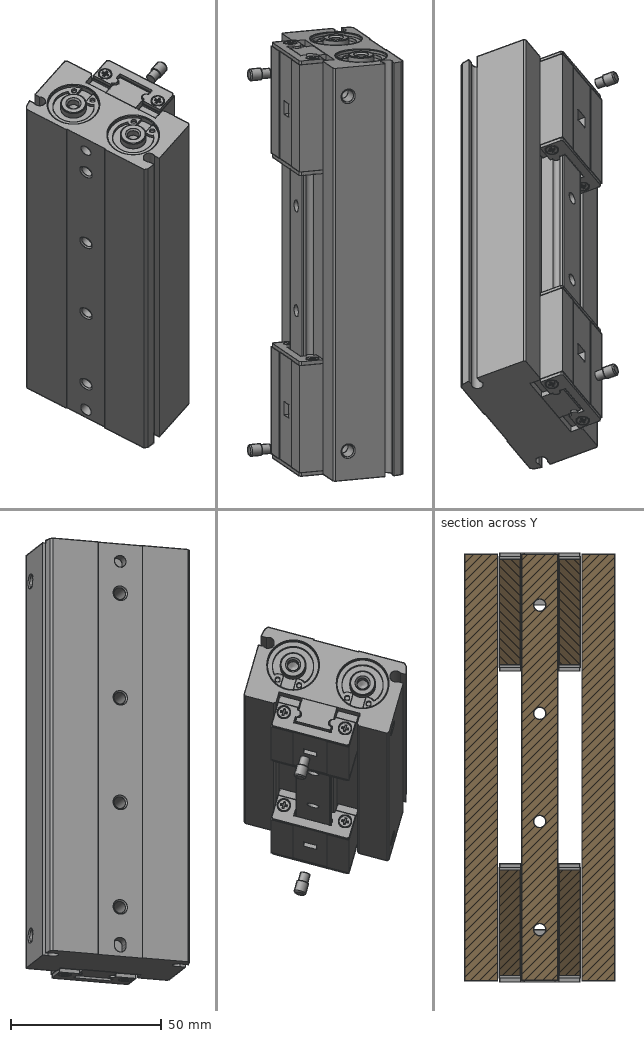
import cadquery as cq
import math


HOUSING_WIDTH = 50.0
HOUSING_DEPTH = 25.1
HOUSING_LENGTH = 142.0
HALF_WIDTH = HOUSING_WIDTH / 2
FOOT_HALF_WIDTH = 24.4
FOOT_FACE_HALF_WIDTH = 23.5
FOOT_CHAMFER_Y = 1.0
RELIEF_WIDTH = 15.4
RELIEF_DEPTH = 0.3
TOP_CHAMFER = 0.5

CHANNEL_WIDTH = 28.0
CHANNEL_FLOOR_Y = 20.8
CHANNEL_CHAMFER = 0.7

SLOT_DIAMETER = 3.9
SLOT_NECK = 3.1
SLOT_X = 22.0
SLOT_Y = 5.3

BORE_X = 12.0
BORE_Y = 10.5
BORE_DIAMETER = 17.0
BORE_CHAMFER = 0.3
CAP_LENGTH = 4.3
CAP_RECESS = 2.1
RING_RECESS = 1.1
RING_INNER_DIAMETER = 13.7
RING_GAP = 4.4
LUG_HOLE_DIAMETER = 1.7
LUG_RADIUS = 2.0
LUG_X = 3.7
LUG_Y = 5.9
BOSS_DIAMETER = 8.5
BOSS_CHAMFER = 0.3
BOSS_HOLE_DIAMETER = 3.9
BOSS_HOLE_MOUTH = 5.0
BOSS_HOLE_DEPTH = 2.9

MOUNT_PITCH = 36.0
MOUNT_COUNT = 4
MOUNT_DIAMETER = 4.0
MOUNT_MOUTH = 5.0
LOCATING_DIAMETER = 4.0
LOCATING_DEPTH = 4.0
LOCATING_HOLE_Z = 65.0
LOCATING_SLOT_Z = -67.0
LOCATING_SLOT_LENGTH = 5.0
PORT_Y = 20.0
PORT_Z = 61.0
PORT_DIAMETER = 4.1
PORT_MOUTH = 5.0
PORT_DEPTH = 5.7
DRILL_TIP_ANGLE = 118.0

RAIL_WIDTH = 12.0
RAIL_TOP_Y = 29.1
RAIL_CHAMFER = 0.3
RACE_Y = 26.5
RAIL_RACE_RADIUS = 1.3
RAIL_LENGTH = HOUSING_LENGTH - 0.3

BLOCK_WIDTH = 27.0
BLOCK_LENGTH = 39.4
BLOCK_END_Z = 71.4
BLOCK_TOP_Y = 33.0
BLOCK_UNDERSIDE_Y = 24.1
FOOT_PAD_Y = 21.4
FOOT_PAD_INSET = 2.1
BLOCK_GROOVE_WIDTH = 12.9
BLOCK_ROOF_Y = 29.5
BLOCK_RACE_RADIUS = 1.3
TOP_RELIEF_WIDTH = 11.7
TOP_RELIEF_DEPTH = 0.3
END_PLATE_LENGTH = 1.3
END_PLATE_TOP_Y = 32.8
END_PLATE_FOOT_Y = 24.4
END_PLATE_ROOF_Y = 30.0
END_PLATE_CHAMFER = 0.5
END_PLATE_INSET = 0.1
SCREW_X = 10.5
SCREW_Y = 27.3
SCREW_RECESS_DIAMETER = 4.4
SCREW_HEAD_DIAMETER = 4.0
SCREW_RECESS = 0.5
SCREW_CROSS_LENGTH = 2.3
SCREW_CROSS_WIDTH = 0.5
WINDOW_WIDTH = 4.5
WINDOW_LENGTH = 4.5

PIN_Z = 64.5
PIN_TOP_Y = 45.8
PIN_HEAD_DIAMETER = 4.0
PIN_HEAD_LENGTH = 4.0
PIN_SHANK_DIAMETER = 3.3
PIN_LENGTH = 7.1
PIN_CHAMFER = 0.4


def extrude_centered(outline, length):
    """Extrude a closed XY outline along Z, centred on Z = 0."""
    return outline.extrude(length / 2, both=True)


def box_between(x_limits, y_limits, z_limits):
    """Axis-aligned box given by its limits on each axis."""
    size = [high - low for low, high in (x_limits, y_limits, z_limits)]
    corner = (x_limits[0], y_limits[0], z_limits[0])
    return cq.Workplane("XY").box(*size, centered=False).translate(corner)


def drilled_hole(diameter, mouth, depth):
    """Cutter along -Z from the origin: chamfered mouth, straight bore and conical tip."""
    radius = diameter / 2
    mouth_depth = mouth / 2 - radius
    tip = radius / math.tan(math.radians(DRILL_TIP_ANGLE / 2))
    return (
        cq.Workplane("XZ")
        .polyline([
            (0, 0),
            (mouth / 2, 0),
            (radius, -mouth_depth),
            (radius, -depth),
            (0, -depth - tip),
        ])
        .close()
        .revolve(360, (0, 0), (0, 1))
    )



def housing_profile():
    channel = CHANNEL_WIDTH / 2
    neck_bottom = SLOT_Y - SLOT_NECK / 2
    right = [
        (RELIEF_WIDTH / 2, RELIEF_DEPTH),
        (RELIEF_WIDTH / 2, 0),
        (FOOT_FACE_HALF_WIDTH, 0),
        (FOOT_HALF_WIDTH, FOOT_CHAMFER_Y),
        (HALF_WIDTH, neck_bottom),
        (HALF_WIDTH, HOUSING_DEPTH - TOP_CHAMFER),
        (HALF_WIDTH - TOP_CHAMFER, HOUSING_DEPTH),
        (channel + CHANNEL_CHAMFER, HOUSING_DEPTH),
        (channel, HOUSING_DEPTH - CHANNEL_CHAMFER),
        (channel, CHANNEL_FLOOR_Y),
    ]
    left = [(-x, y) for x, y in reversed(right)]
    return cq.Workplane("XY").polyline(right + left).close()


def sensor_slot(side):
    round_part = extrude_centered(
        cq.Workplane("XY").center(side * SLOT_X, SLOT_Y).circle(SLOT_DIAMETER / 2), HOUSING_LENGTH
    )
    neck_length = HALF_WIDTH - SLOT_X
    neck = extrude_centered(
        cq.Workplane("XY")
        .center(side * (SLOT_X + neck_length / 2), SLOT_Y)
        .rect(neck_length, SLOT_NECK),
        HOUSING_LENGTH,
    )
    return round_part.union(neck)


def bore_cutter(side):
    """Recess that holds one end cap, with a chamfered mouth."""
    radius = BORE_DIAMETER / 2
    floor = -CAP_RECESS - CAP_LENGTH
    return (
        cq.Workplane("XZ")
        .polyline([
            (0, 0),
            (radius + BORE_CHAMFER, 0),
            (radius, -BORE_CHAMFER),
            (radius, floor),
            (0, floor),
        ])
        .close()
        .revolve(360, (0, 0), (0, 1))
        .translate((side * BORE_X, BORE_Y, HOUSING_LENGTH / 2))
    )


def guide_rail():
    half = RAIL_WIDTH / 2
    profile = (
        cq.Workplane("XY")
        .moveTo(-half, CHANNEL_FLOOR_Y)
        .lineTo(half, CHANNEL_FLOOR_Y)
        .lineTo(half, RACE_Y - RAIL_RACE_RADIUS)
        .threePointArc((half - RAIL_RACE_RADIUS, RACE_Y), (half, RACE_Y + RAIL_RACE_RADIUS))
        .lineTo(half, RAIL_TOP_Y - RAIL_CHAMFER)
        .lineTo(half - RAIL_CHAMFER, RAIL_TOP_Y)
        .lineTo(RAIL_CHAMFER - half, RAIL_TOP_Y)
        .lineTo(-half, RAIL_TOP_Y - RAIL_CHAMFER)
        .lineTo(-half, RACE_Y + RAIL_RACE_RADIUS)
        .threePointArc((RAIL_RACE_RADIUS - half, RACE_Y), (-half, RACE_Y - RAIL_RACE_RADIUS))
        .close()
    )
    return extrude_centered(profile, RAIL_LENGTH)


def mounting_hole(z):
    """Through hole with a chamfered mouth on the mounting face."""
    mouth_depth = (MOUNT_MOUTH - MOUNT_DIAMETER) / 2
    radius = MOUNT_DIAMETER / 2
    return (
        cq.Workplane("XY")
        .polyline([
            (0, RELIEF_DEPTH),
            (MOUNT_MOUTH / 2, RELIEF_DEPTH),
            (radius, RELIEF_DEPTH + mouth_depth),
            (radius, RAIL_TOP_Y),
            (0, RAIL_TOP_Y),
        ])
        .close()
        .revolve(360, (0, 0), (0, 1))
        .translate((0, 0, z))
    )


def locating_holes():
    """Blind round hole and blind slot in the mounting face."""
    face = cq.Workplane("XZ")
    depth = -(RELIEF_DEPTH + LOCATING_DEPTH)
    hole = face.center(0, LOCATING_HOLE_Z).circle(LOCATING_DIAMETER / 2).extrude(depth)
    slot = (
        face.center(0, LOCATING_SLOT_Z)
        .slot2D(LOCATING_SLOT_LENGTH, LOCATING_DIAMETER, 90)
        .extrude(depth)
    )
    return hole.union(slot)


def side_port(z):
    return (
        drilled_hole(PORT_DIAMETER, PORT_MOUTH, PORT_DEPTH)
        .rotate((0, 0, 0), (0, 1, 0), -90)
        .translate((-HALF_WIDTH, PORT_Y, z))
    )


def make_housing():
    """Extruded housing with the guide rail standing on its channel floor."""
    housing = extrude_centered(housing_profile(), HOUSING_LENGTH).union(guide_rail())
    for side in (-1, 1):
        housing = housing.cut(sensor_slot(side)).cut(bore_cutter(side))
        housing = housing.cut(side_port(side * PORT_Z))
    for index in range(MOUNT_COUNT):
        z = (index - (MOUNT_COUNT - 1) / 2) * MOUNT_PITCH
        housing = housing.cut(mounting_hole(z))
    return housing.cut(locating_holes())



def retaining_ring():
    """C-shaped ring standing on the cap face, with two drilled lugs at its gap."""
    height = CAP_RECESS - RING_RECESS
    disc = cq.Workplane("XY").circle(BORE_DIAMETER / 2).extrude(height)
    lug_points = [(-LUG_X, LUG_Y), (LUG_X, LUG_Y)]
    ring = disc.cut(cq.Workplane("XY").circle(RING_INNER_DIAMETER / 2).extrude(height))
    lugs = cq.Workplane("XY").pushPoints(lug_points).circle(LUG_RADIUS).extrude(height).intersect(disc)
    gap = cq.Workplane("XY").center(0, BORE_DIAMETER / 2).rect(RING_GAP, BORE_DIAMETER).extrude(height)
    holes = cq.Workplane("XY").pushPoints(lug_points).circle(LUG_HOLE_DIAMETER / 2).extrude(height)
    lug_foot_y = LUG_Y - LUG_RADIUS
    lug_bridge = box_between((-LUG_X, LUG_X), (lug_foot_y, BORE_DIAMETER / 2), (0, height)).intersect(disc)
    return ring.union(lugs).union(lug_bridge).cut(gap).cut(holes)


def make_end_cap(side):
    """Cap with its retaining ring and a drilled central boss."""
    face_z = HOUSING_LENGTH / 2 - CAP_RECESS
    boss_height = BLOCK_END_Z - face_z
    cap = cq.Workplane("XY").circle(BORE_DIAMETER / 2).extrude(-CAP_LENGTH)
    boss = cq.Workplane("XY").circle(BOSS_DIAMETER / 2).extrude(boss_height)
    cap = cap.union(boss.faces(">Z").chamfer(BOSS_CHAMFER))
    cap = cap.union(retaining_ring())
    hole = drilled_hole(BOSS_HOLE_DIAMETER, BOSS_HOLE_MOUTH, BOSS_HOLE_DEPTH)
    cap = cap.cut(hole.translate((0, 0, boss_height)))
    return cap.translate((side * BORE_X, BORE_Y, face_z))



def block_groove(roof_y):
    """Clearance over the rail, with the ball races left standing on its walls."""
    half = BLOCK_GROOVE_WIDTH / 2
    r = BLOCK_RACE_RADIUS
    profile = (
        cq.Workplane("XY")
        .moveTo(-half, CHANNEL_FLOOR_Y)
        .lineTo(half, CHANNEL_FLOOR_Y)
        .lineTo(half, RACE_Y - r)
        .threePointArc((half - r, RACE_Y), (half, RACE_Y + r))
        .lineTo(half, roof_y)
        .lineTo(-half, roof_y)
        .lineTo(-half, RACE_Y + r)
        .threePointArc((r - half, RACE_Y), (-half, RACE_Y - r))
        .close()
    )
    return extrude_centered(profile, BLOCK_LENGTH)


def block_center():
    half = BLOCK_WIDTH / 2
    half_length = BLOCK_LENGTH / 2 - END_PLATE_LENGTH
    z_limits = (-half_length, half_length)
    body = box_between((-half, half), (BLOCK_UNDERSIDE_Y, BLOCK_TOP_Y), z_limits)
    pad_half_length = BLOCK_LENGTH / 2 - FOOT_PAD_INSET
    pads = box_between(
        (-half, half), (FOOT_PAD_Y, BLOCK_UNDERSIDE_Y), (-pad_half_length, pad_half_length)
    )
    relief_half = TOP_RELIEF_WIDTH / 2
    relief = box_between(
        (-relief_half, relief_half), (BLOCK_TOP_Y - TOP_RELIEF_DEPTH, BLOCK_TOP_Y), z_limits
    )
    window = box_between(
        (-WINDOW_WIDTH / 2, WINDOW_WIDTH / 2),
        (BLOCK_ROOF_Y, BLOCK_TOP_Y),
        (-WINDOW_LENGTH / 2, WINDOW_LENGTH / 2),
    )
    return body.union(pads).cut(block_groove(BLOCK_ROOF_Y)).cut(relief).cut(window)


def end_plate():
    """Plate on the +Z end of a block, with two cross-slotted screw heads in recesses."""
    half = BLOCK_WIDTH / 2 - END_PLATE_INSET
    end = BLOCK_LENGTH / 2
    plate = box_between(
        (-half, half), (END_PLATE_FOOT_Y, END_PLATE_TOP_Y), (end - END_PLATE_LENGTH, end)
    )
    plate = plate.edges("|Z and >Y").chamfer(END_PLATE_CHAMFER).cut(block_groove(END_PLATE_ROOF_Y))
    screw_points = [(-SCREW_X, SCREW_Y), (SCREW_X, SCREW_Y)]
    screws = cq.Workplane("XY", origin=(0, 0, end)).pushPoints(screw_points)
    recesses = screws.circle(SCREW_RECESS_DIAMETER / 2).extrude(-SCREW_RECESS)
    heads = screws.circle(SCREW_HEAD_DIAMETER / 2).extrude(-SCREW_RECESS)
    plate = plate.cut(recesses.cut(heads))
    for size in ((SCREW_CROSS_LENGTH, SCREW_CROSS_WIDTH), (SCREW_CROSS_WIDTH, SCREW_CROSS_LENGTH)):
        plate = plate.cut(screws.rect(*size).extrude(-SCREW_RECESS))
    return plate


def make_guide_block(side):
    plate = end_plate()
    block = block_center().union(plate).union(plate.mirror("XY"))
    return block.translate((0, 0, side * (BLOCK_END_Z - BLOCK_LENGTH / 2)))



def make_pin(side):
    """Stepped pin along Y, chamfered at its head."""
    head = PIN_HEAD_DIAMETER / 2
    shank = PIN_SHANK_DIAMETER / 2
    shoulder_y = PIN_TOP_Y - PIN_HEAD_LENGTH
    foot_y = PIN_TOP_Y - PIN_LENGTH
    return (
        cq.Workplane("XY")
        .polyline([
            (0, PIN_TOP_Y),
            (head - PIN_CHAMFER, PIN_TOP_Y),
            (head, PIN_TOP_Y - PIN_CHAMFER),
            (head, shoulder_y),
            (shank, shoulder_y),
            (shank, foot_y),
            (0, foot_y),
        ])
        .close()
        .revolve(360, (0, 0), (0, 1))
        .translate((0, 0, side * PIN_Z))
    )


housing = make_housing()
bodies = [*housing.solids().vals()]
for side in (-1, 1):
    for make_body in (make_end_cap, make_guide_block, make_pin):
        bodies.extend(make_body(side).solids().vals())

result = cq.Compound.makeCompound(bodies)